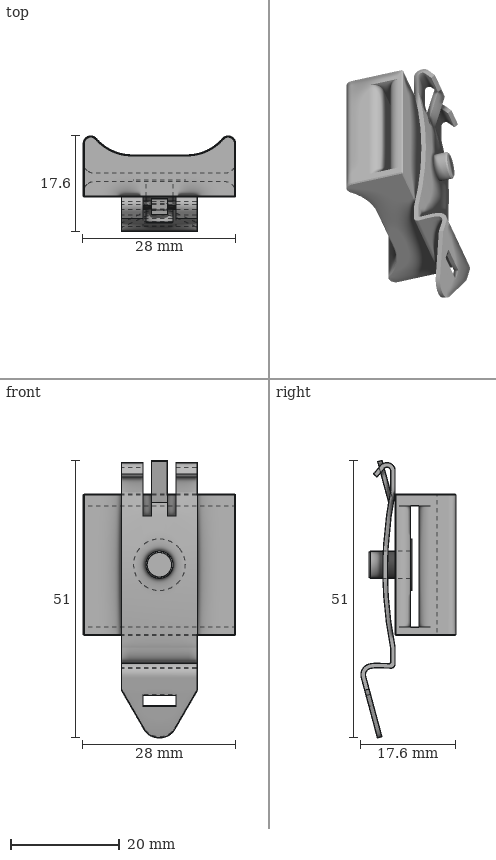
import cadquery as cq
import math

block_width = 28.0
block_depth = 11.25
block_height = 26.0
block_edge_chamfer = 0.2
saddle_floor_y = 7.75
saddle_floor_half_width = 5.0
horn_radius = 1.4

passage_top = 10.8
passage_bottom = -11.5
passage_front_y = 2.85
passage_back_y = 4.4
mouth_radius = 2.05

pin_diameter = 5.0
pin_end_y = -4.8
pin_end_chamfer = 0.25
head_diameter = 9.5
head_thickness = 0.3

clip_width = 14.0
sheet = 0.85
clip_back_y = 0.05
hook_radius = 1.55
bow_top = 13.3
bow_bottom = -15.25
bow_rise = 1.45

hook_center_z = 17.25
hook_lip_angle = 50.0
hook_lip_length = 2.05
hook_gap = 6.0
gap_bottom = 9.0
tongue_width = 2.95
tongue_bend_z = 11.45
tongue_top = 19.2

clip_front_y = -6.3
heel_inner_z = -18.15
heel_inner_radius = 0.2
heel_outer_radius = 0.8
shelf_end_angle = 20.0
nose_radius = 2.05
nose_center_z = -20.2
lean_angle = 15.0
clip_bottom = -31.85
tail_shoulder_z = -23.05
tail_tip_radius = 3.25
tail_slot_width = 6.0
tail_slot_height = 2.1
tail_slot_top_z = -24.05

lean = math.radians(lean_angle)
clip_face_y = clip_back_y - sheet
nose_center = (clip_front_y + nose_radius, nose_center_z)
tail_front = (
    nose_center[0] - nose_radius * math.cos(lean),
    nose_center[1] - nose_radius * math.sin(lean),
)


def along_x(profile, width):
    """Extrude a closed (Y, Z) sketch symmetrically about X = 0."""
    strip = profile.close().extrude(width)
    return strip.translate((-width / 2, 0, 0))


def side_sketch(y, z):
    return cq.Workplane("YZ").moveTo(y, z)


def on_circle(center, radius, angle):
    """Point on a circle, with the angle in radians from the first axis."""
    return (center[0] + radius * math.cos(angle), center[1] + radius * math.sin(angle))


def mirrored(point):
    return (-point[0], point[1])


def saddle_body():
    half_width = block_width / 2
    horn_center = (half_width - horn_radius, block_depth - horn_radius)
    run = horn_center[0] - saddle_floor_half_width
    rise = horn_center[1] - saddle_floor_y
    saddle_radius = (run**2 + rise**2 - horn_radius**2) / (2 * (rise + horn_radius))
    saddle_center = (saddle_floor_half_width, saddle_floor_y + saddle_radius)
    joint_angle = math.atan2(horn_center[1] - saddle_center[1], run)
    joint = on_circle(saddle_center, saddle_radius, joint_angle)
    saddle_mid = on_circle(saddle_center, saddle_radius, (joint_angle - math.pi / 2) / 2)
    horn_mid = on_circle(horn_center, horn_radius, (joint_angle + math.pi) / 2)

    body = (
        cq.Workplane("XY", origin=(0, 0, -block_height / 2))
        .moveTo(-half_width, 0)
        .lineTo(half_width, 0)
        .lineTo(half_width, horn_center[1])
        .threePointArc(horn_mid, joint)
        .threePointArc(saddle_mid, (saddle_floor_half_width, saddle_floor_y))
        .lineTo(-saddle_floor_half_width, saddle_floor_y)
        .threePointArc(mirrored(saddle_mid), mirrored(joint))
        .threePointArc(mirrored(horn_mid), (-half_width, horn_center[1]))
        .close()
        .extrude(block_height)
    )
    front_corners = body.faces("<Y").edges("|Z")
    body = front_corners.chamfer(block_edge_chamfer)
    return body.faces("|Z").edges().chamfer(block_edge_chamfer)


def strap_passage(body):
    """Cut a flat duct along X and round the long edges of both mouths."""
    duct = cq.Workplane("XY").box(
        block_width,
        passage_back_y - passage_front_y,
        passage_top - passage_bottom,
    )
    duct_center_y = (passage_front_y + passage_back_y) / 2
    duct_center_z = (passage_top + passage_bottom) / 2
    body = body.cut(duct.translate((0, duct_center_y, duct_center_z)))
    for mouth_x in (-block_width / 2, block_width / 2):
        for wall_y in (passage_front_y, passage_back_y):
            mouth_edge = cq.NearestToPointSelector((mouth_x, wall_y, duct_center_z))
            body = body.edges("|Z").edges(mouth_edge).fillet(mouth_radius)
    return body


def y_cylinder(diameter, start_y, end_y):
    """Cylinder on the pin axis, running toward -Y from start_y to end_y."""
    base = cq.Workplane("XZ", origin=(0, start_y, 0))
    return base.circle(diameter / 2).extrude(start_y - end_y)


def make_block():
    block = strap_passage(saddle_body())
    return block.cut(y_cylinder(pin_diameter, passage_front_y, 0))


def make_pin():
    shank = y_cylinder(pin_diameter, passage_front_y, pin_end_y)
    shank = shank.faces("<Y").chamfer(pin_end_chamfer)
    head = y_cylinder(head_diameter, passage_front_y + head_thickness, passage_front_y)
    return shank.union(head)


def bow_plate():
    """Middle of the clip: a shallow arc standing off the block between its ends."""
    bow_middle = (bow_top + bow_bottom) / 2
    profile = (
        side_sketch(clip_back_y, bow_top)
        .threePointArc((clip_back_y - bow_rise, bow_middle), (clip_back_y, bow_bottom))
        .lineTo(clip_face_y, bow_bottom)
        .threePointArc((clip_face_y - bow_rise, bow_middle), (clip_face_y, bow_top))
    )
    return along_x(profile, clip_width)


def hook_plate():
    """Upright plate that curls forward over its top and ends in a straight lip."""
    center = (clip_back_y - hook_radius, hook_center_z)
    inner_radius = hook_radius - sheet
    lip_angle = math.pi - math.radians(90 - hook_lip_angle)
    lip_start = on_circle(center, hook_radius, lip_angle)
    lip_inner_start = on_circle(center, inner_radius, lip_angle)
    lip_y = -hook_lip_length * math.sin(lip_angle)
    lip_z = hook_lip_length * math.cos(lip_angle)
    profile = (
        side_sketch(clip_back_y, bow_top)
        .lineTo(clip_back_y, hook_center_z)
        .threePointArc(on_circle(center, hook_radius, lip_angle / 2), lip_start)
        .line(lip_y, lip_z)
        .lineTo(lip_inner_start[0] + lip_y, lip_inner_start[1] + lip_z)
        .lineTo(*lip_inner_start)
        .threePointArc(on_circle(center, inner_radius, lip_angle / 2), (clip_face_y, hook_center_z))
        .lineTo(clip_face_y, bow_top)
    )
    return along_x(profile, clip_width)


def hook_gap_cut():
    """Opening between the two hooks, reaching down into the bow."""
    height = block_height
    gap = cq.Workplane("XY").box(hook_gap, block_depth, height)
    return gap.translate((0, 0, gap_bottom + height / 2))


def tongue():
    """Strip left standing in the gap, bent forward from the bow."""
    strip = bow_plate().intersect(
        cq.Workplane("XY")
        .box(tongue_width, block_depth, tongue_bend_z - gap_bottom)
        .translate((0, 0, (tongue_bend_z + gap_bottom) / 2))
    )
    half_chord = (bow_top - bow_bottom) / 2
    bow_radius = (half_chord**2 + bow_rise**2) / (2 * bow_rise)
    bend_height = tongue_bend_z - (bow_top + bow_bottom) / 2
    bow_offset = bow_rise - bow_radius + math.sqrt(bow_radius**2 - bend_height**2)
    front = (clip_face_y - bow_offset, tongue_bend_z)
    tip_rise = tongue_top - sheet * math.sin(lean) - tongue_bend_z
    tip = (front[0] - tip_rise * math.tan(lean), front[1] + tip_rise)
    back_y = front[0] + sheet / math.cos(lean)
    profile = (
        side_sketch(*front)
        .lineTo(*tip)
        .line(sheet * math.cos(lean), sheet * math.sin(lean))
        .lineTo(back_y, tongue_bend_z)
    )
    return strip.union(along_x(profile, tongue_width))


def foot_plate():
    """Lower end: upright, rounded heel, drooping shelf and a tail leaning back."""
    inner_radius = nose_radius - sheet
    droop = math.radians(shelf_end_angle)
    nose_start = math.pi / 2 + droop
    nose_end = math.pi + lean
    nose_mid = (nose_start + nose_end) / 2
    nose = on_circle(nose_center, nose_radius, nose_start)
    nose_inner = on_circle(nose_center, inner_radius, nose_start)
    tail_back = on_circle(nose_center, inner_radius, nose_end)
    tail_end = (tail_front[0] + tail_distance(clip_bottom) * math.sin(lean), clip_bottom)

    inner_heel = (clip_face_y - heel_inner_radius, heel_inner_z + heel_inner_radius)
    heel_bottom_z = heel_inner_z - sheet
    outer_heel = (clip_back_y - heel_outer_radius, heel_bottom_z + heel_outer_radius)
    level_out = (-1, 0)
    drooping_out = (-math.cos(droop), -math.sin(droop))
    level_back = (1, 0)
    drooping_back = (math.cos(droop), math.sin(droop))

    profile = (
        side_sketch(clip_back_y, bow_bottom)
        .lineTo(clip_face_y, bow_bottom)
        .lineTo(clip_face_y, inner_heel[1])
        .threePointArc(
            on_circle(inner_heel, heel_inner_radius, -math.pi / 4),
            (inner_heel[0], heel_inner_z),
        )
        .spline([nose], tangents=[level_out, drooping_out], includeCurrent=True)
        .threePointArc(on_circle(nose_center, nose_radius, nose_mid), tail_front)
        .lineTo(*tail_end)
        .line(sheet * math.cos(lean), sheet * math.sin(lean))
        .lineTo(*tail_back)
        .threePointArc(on_circle(nose_center, inner_radius, nose_mid), nose_inner)
        .spline(
            [(outer_heel[0], heel_bottom_z)],
            tangents=[drooping_back, level_back],
            includeCurrent=True,
        )
        .threePointArc(
            on_circle(outer_heel, heel_outer_radius, -math.pi / 4),
            (clip_back_y, outer_heel[1]),
        )
    )
    return along_x(profile, clip_width)


def tail_distance(z):
    """Distance along the tail, measured down from the nose bend to height z."""
    return (tail_front[1] - z) / math.cos(lean)


def tail_workplane():
    """Front face of the tail, with local Y pointing up along it."""
    normal = (0, -math.cos(lean), -math.sin(lean))
    return cq.Workplane(cq.Plane((0, *tail_front), (1, 0, 0), normal))


def tail_trim():
    """Material beside the tapered, round-ended tip of the tail."""
    half_width = clip_width / 2
    shoulder_y = -tail_distance(tail_shoulder_z)
    end_y = -tail_distance(clip_bottom)
    tip_center = (0, end_y + tail_tip_radius)
    fall = shoulder_y - tip_center[1]
    reach = math.hypot(half_width, fall)
    tangent_angle = math.atan2(fall, half_width) - math.acos(tail_tip_radius / reach)
    tangent = on_circle(tip_center, tail_tip_radius, tangent_angle)
    outline = (
        tail_workplane()
        .moveTo(-half_width, shoulder_y)
        .lineTo(*mirrored(tangent))
        .threePointArc((0, end_y), tangent)
        .lineTo(half_width, shoulder_y)
        .close()
        .extrude(-sheet)
    )
    blank_height = shoulder_y - end_y
    blank = (
        tail_workplane()
        .center(0, (shoulder_y + end_y) / 2)
        .rect(clip_width, blank_height)
        .extrude(-sheet)
    )
    return blank.cut(outline)


def tail_slot():
    slot_center_y = -tail_distance(tail_slot_top_z) - tail_slot_height / 2
    slot = tail_workplane().center(0, slot_center_y)
    return slot.rect(tail_slot_width, tail_slot_height).extrude(-sheet)


def make_clip():
    hooks = bow_plate().union(hook_plate()).cut(hook_gap_cut())
    clip = hooks.union(tongue()).union(foot_plate())
    clip = clip.cut(tail_trim()).cut(tail_slot())
    return clip.cut(y_cylinder(pin_diameter, passage_front_y, pin_end_y))


block = make_block()
clip = make_clip()
pin = make_pin()
result = cq.Compound.makeCompound([block.val(), clip.val(), pin.val()])